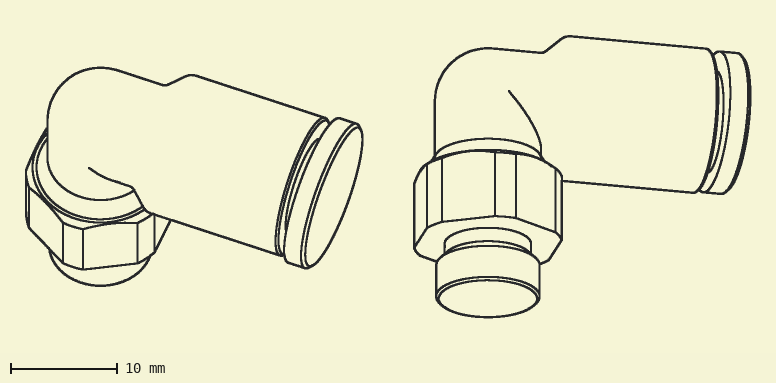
import cadquery as cq
import math

elbow_radius = 10.0 / 2

socket_radius = 13.6 / 2
shoulder_start_x = 5.0
shoulder_end_x = 6.98
shoulder_blend = 0.9
socket_end_x = 20.65
socket_end_chamfer = 0.2
collar_neck_radius = 9.6 / 2

collar_width_y = 15.0
collar_height_z = 13.0
collar_start_x = 21.58
collar_end_x = 23.6
collar_end_chamfer = 0.3

nut_across_flats = 13.0
nut_corner_radius = 14.0 / 2
nut_top_radius = 12.75 / 2
nut_top_z = -7.5
nut_bottom_z = -14.45
nut_chamfer_height = 0.48

cone_top_z = -5.8
cone_base_radius = 12.0 / 2

stud_neck_radius = 8.13 / 2
stud_radius = 9.72 / 2
stud_taper_z = -15.8
stud_bottom_z = -20.0
stud_end_chamfer = 0.25


def revolve_about_z(points):
    """Revolve (radius, z) points about the Z axis."""
    return cq.Workplane("XZ").polyline(points).close().revolve(360, (0, 0, 0), (0, 1, 0))


def make_elbow_and_socket():
    arm = (
        cq.Workplane("XY")
        .polyline([
            (0, 0),
            (0, elbow_radius),
            (shoulder_start_x, elbow_radius),
            (shoulder_end_x, socket_radius),
            (socket_end_x, socket_radius),
            (socket_end_x, 0),
        ])
        .close()
        .revolve(360, (0, 0, 0), (1, 0, 0))
    )
    margin = 0.3
    reach = socket_radius + margin
    shoulder = cq.selectors.BoxSelector(
        (shoulder_start_x - margin, -reach, -reach),
        (shoulder_end_x + margin, reach, reach),
        boundingbox=True,
    )
    arm = arm.edges("%CIRCLE").edges(shoulder).fillet(shoulder_blend)
    arm = arm.faces(">X").edges().chamfer(socket_end_chamfer)
    leg = cq.Workplane("XY").circle(elbow_radius).extrude(cone_top_z)
    corner = cq.Workplane("XY").sphere(elbow_radius)
    return arm.union(leg).union(corner)


def make_collar():
    neck = (
        cq.Workplane("YZ", origin=(socket_end_x, 0, 0))
        .circle(collar_neck_radius)
        .extrude(collar_start_x - socket_end_x)
    )
    oval = (
        cq.Workplane("YZ", origin=(collar_start_x, 0, 0))
        .ellipse(collar_width_y / 2, collar_height_z / 2)
        .extrude(collar_end_x - collar_start_x)
        .faces(">X")
        .edges()
        .chamfer(collar_end_chamfer)
    )
    return neck.union(oval)


def make_nut():
    hexagon = (
        cq.Workplane("XY", origin=(0, 0, nut_bottom_z))
        .polygon(6, nut_across_flats / math.cos(math.pi / 6))
        .extrude(nut_top_z - nut_bottom_z)
        .rotate((0, 0, 0), (0, 0, 1), 30)
    )
    turned_blank = revolve_about_z([
        (0, nut_bottom_z),
        (nut_corner_radius, nut_bottom_z),
        (nut_corner_radius, nut_top_z - nut_chamfer_height),
        (nut_top_radius, nut_top_z),
        (0, nut_top_z),
    ])
    return hexagon.intersect(turned_blank)


def make_cone():
    return revolve_about_z([
        (0, nut_top_z),
        (cone_base_radius, nut_top_z),
        (elbow_radius, cone_top_z),
        (0, cone_top_z),
    ])


def make_stud():
    taper = stud_radius - stud_neck_radius
    return revolve_about_z([
        (0, nut_bottom_z),
        (stud_neck_radius, nut_bottom_z),
        (stud_neck_radius, stud_taper_z),
        (stud_radius, stud_taper_z - taper),
        (stud_radius, stud_bottom_z + stud_end_chamfer),
        (stud_radius - stud_end_chamfer, stud_bottom_z),
        (0, stud_bottom_z),
    ])


result = (
    make_elbow_and_socket()
    .union(make_collar())
    .union(make_nut())
    .union(make_cone())
    .union(make_stud())
)